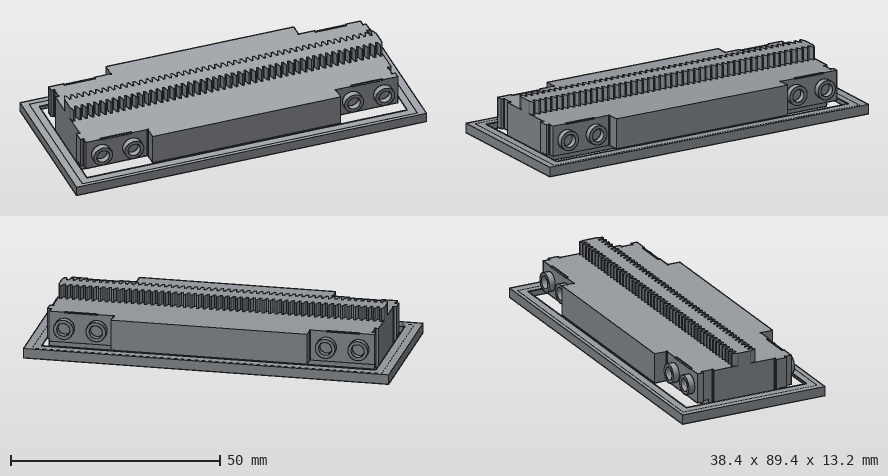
import cadquery as cq
frame_width = 38.4
frame_length = 89.4
frame_height = 2.4
opening_width = 32.4
opening_length = 81.8
lip_thickness = 0.2
lip_reach = 1.9

plate_width = 25.3
plate_length = 79.7
plate_bottom = frame_height
plate_top = 10.0
flank_width = 31.8
flank_length = 48.0

keel_width = 18.4

relief_diameter = 0.32

step_width = 0.5
step_depth = 0.2

tab_inner = 8.2
tab_outer = 11.0
tab_length = 0.8
notch_inner = 8.1
notch_outer = 11.0
notch_depth = 0.8

total_height = 13.2
tooth_count = 50
tooth_gap = 0.4
tip_flat = 0.4
tooth_pitch = (plate_length + tooth_gap) / tooth_count
tooth_base = tooth_pitch - tooth_gap
tip_half_width = 3.1
root_half_width = 1.7

boss_diameter = 4.8
bore_diameter = 3.2
boss_length = 1.6
bore_depth = boss_length
boss_height = 6.1
boss_positions = (28.1, 36.0)


def block(width, length, bottom, top):
    return (
        cq.Workplane("XY", origin=(0, 0, bottom))
        .rect(width, length)
        .extrude(top - bottom)
    )


def make_frame():
    frame = block(frame_width, frame_length, 0, frame_height)
    opening = block(opening_width, opening_length, 0, frame_height)
    rebate = block(
        opening_width + 2 * lip_reach,
        opening_length + 2 * lip_reach,
        0,
        frame_height - lip_thickness,
    )
    return frame.cut(opening).cut(rebate)


def make_outline_block():
    """The stepped outline of the carriage with its tabs, notches and reliefs, at full depth."""
    half_width = plate_width / 2
    half_length = plate_length / 2
    half_flank = flank_length / 2
    notch_floor = half_length - notch_depth

    carriage = block(plate_width, plate_length, 0, plate_top)
    carriage = carriage.union(block(flank_width, flank_length, 0, plate_top))
    reliefs = [(side * half_width, end * half_flank) for side in (1, -1) for end in (1, -1)]
    for end in (1, -1):
        tab = block(tab_outer - tab_inner, 2 * tab_length, 0, plate_top)
        tab_centre = -end * (tab_inner + tab_outer) / 2
        carriage = carriage.union(tab.translate((tab_centre, end * half_length, 0)))
        notch = block(notch_outer - notch_inner, 2 * notch_depth, 0, plate_top)
        notch_centre = end * (notch_inner + notch_outer) / 2
        carriage = carriage.cut(notch.translate((notch_centre, end * half_length, 0)))
        reliefs += [(-end * x, end * half_length) for x in (tab_inner, tab_outer)]
        reliefs += [(end * x, end * notch_floor) for x in (notch_inner, notch_outer)]
    relief_cuts = cq.Workplane("XY").pushPoints(reliefs).circle(relief_diameter / 2).extrude(plate_top)
    return carriage.cut(relief_cuts)


def make_plate():
    """The stepped outline with its lower flanks cut back to the keel and its upper edges stepped."""
    plate = make_outline_block()
    side_cut_width = (flank_width - keel_width) / 2
    side_cut_centre = (flank_width + keel_width) / 4
    side_cut = block(side_cut_width, frame_length, 0, plate_bottom)
    inner_boss, outer_boss = boss_positions
    step = block(2 * step_width, outer_boss - inner_boss, plate_top - step_depth, plate_top)
    step_centre = (inner_boss + outer_boss) / 2
    for side in (1, -1):
        plate = plate.cut(side_cut.translate((side * side_cut_centre, 0, 0)))
        for end in (1, -1):
            plate = plate.cut(step.translate((side * plate_width / 2, end * step_centre, 0)))
    return plate


def make_rack():
    right_edge = []
    for index in range(tooth_count):
        start = -plate_length / 2 + index * tooth_pitch
        middle = start + tooth_base / 2
        right_edge += [
            (root_half_width, start),
            (tip_half_width, middle - tip_flat / 2),
            (tip_half_width, middle + tip_flat / 2),
            (root_half_width, start + tooth_base),
        ]
    left_edge = [(-x, y) for x, y in reversed(right_edge)]
    return (
        cq.Workplane("XY", origin=(0, 0, plate_top))
        .polyline(right_edge + left_edge)
        .close()
        .extrude(total_height - plate_top)
    )


def add_bosses(carriage):
    centres = [(end * y, 0) for end in (1, -1) for y in boss_positions]
    for side in (1, -1):
        face = cq.Workplane("YZ", origin=(side * plate_width / 2, 0, boss_height))
        bosses = face.pushPoints(centres).circle(boss_diameter / 2).extrude(side * boss_length)
        rim = face.workplane(offset=side * boss_length)
        bores = rim.pushPoints(centres).circle(bore_diameter / 2).extrude(-side * bore_depth)
        carriage = carriage.union(bosses).cut(bores)
    return carriage


def make_carriage():
    return add_bosses(make_plate().union(make_rack()))


frame = make_frame()
carriage = make_carriage()

result = cq.Compound.makeCompound([frame.val(), carriage.val()])